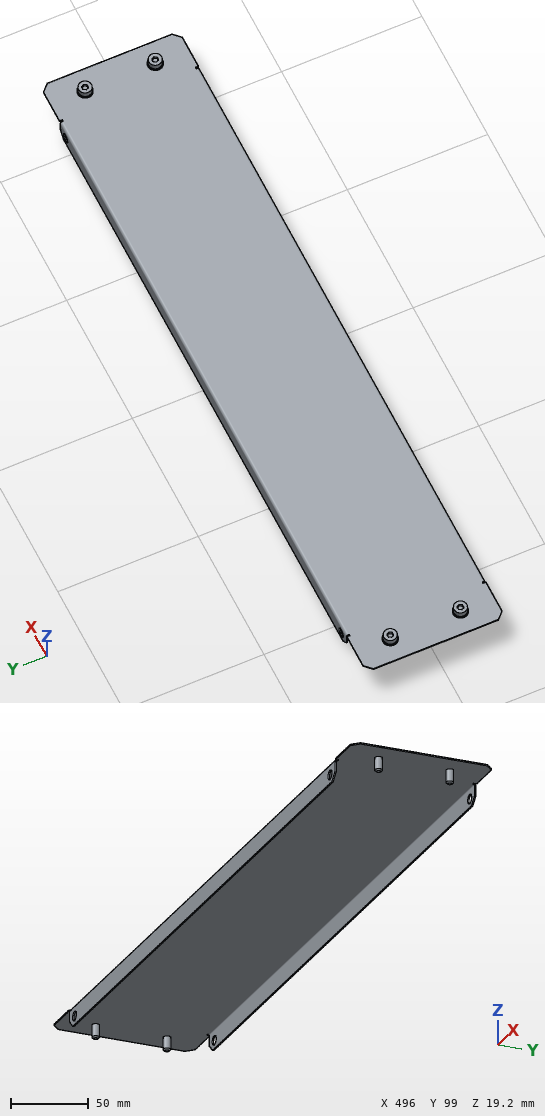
import cadquery as cq
import math

panel_length = 496.0
panel_width = 99.0
sheet = 1.0
bend_inner_radius = 1.0
bend_outer_radius = bend_inner_radius + sheet
panel_corner_chamfer = 5.0
flange_length = 435.0
flange_drop = 14.0
flange_corner_chamfer = 5.0
relief_width = 1.0
relief_depth = bend_outer_radius
flange_hole_diameter = 6.4
flange_hole_end_distance = 8.0
flange_hole_rise = 6.0

screw_pitch_x = 464.0
screw_pitch_y = 50.0
washer_diameter = 10.5
washer_thickness = 1.0
thread_diameter = 5.0
thread_length = 11.5
thread_tip_chamfer = 1.0
head_diameter = 9.2
overall_height = 19.2
head_height = overall_height - flange_drop - washer_thickness
socket_across_flats = 3.8
socket_depth = 2.0

head_seat_z = washer_thickness
screw_positions = [
    (side_x * screw_pitch_x / 2, side_y * screw_pitch_y / 2)
    for side_x in (-1, 1)
    for side_y in (-1, 1)
]


def make_plate():
    """Flat sheet with chamfered corners, cut back where the flanges bend away from it."""
    plate = (
        cq.Workplane("XY")
        .box(panel_length, panel_width, sheet, centered=(True, True, False))
        .translate((0, 0, -sheet))
        .edges("|Z")
        .chamfer(panel_corner_chamfer)
    )
    bend_cutback = (
        cq.Workplane("XY")
        .pushPoints([(0, -panel_width / 2), (0, panel_width / 2)])
        .rect(flange_length, 2 * bend_outer_radius)
        .extrude(-sheet)
    )
    relief_x = (flange_length + relief_width) / 2
    reliefs = (
        cq.Workplane("XY")
        .rect(2 * relief_x, panel_width, forConstruction=True)
        .vertices()
        .rect(relief_width, 2 * relief_depth)
        .extrude(-sheet)
    )
    return plate.cut(bend_cutback).cut(reliefs)


def make_front_flange():
    """Bend and downturned wall along the -Y edge, with chamfered ends and a hole near each end."""
    outer_y = -panel_width / 2
    inner_y = outer_y + sheet
    bend_y = outer_y + bend_outer_radius
    bend_z = -bend_outer_radius
    diagonal = math.sqrt(0.5)
    flange = (
        cq.Workplane("YZ")
        .moveTo(bend_y, 0)
        .threePointArc(
            (bend_y - bend_outer_radius * diagonal, bend_z + bend_outer_radius * diagonal),
            (outer_y, bend_z),
        )
        .lineTo(outer_y, -flange_drop)
        .lineTo(inner_y, -flange_drop)
        .lineTo(inner_y, bend_z)
        .threePointArc(
            (bend_y - bend_inner_radius * diagonal, bend_z + bend_inner_radius * diagonal),
            (bend_y, -sheet),
        )
        .close()
        .extrude(flange_length / 2, both=True)
        .edges("|Y and <Z")
        .edges("<X or >X")
        .chamfer(flange_corner_chamfer)
    )
    hole_x = flange_length / 2 - flange_hole_end_distance
    hole_z = -flange_drop + flange_hole_rise
    holes = (
        cq.Workplane("XZ", origin=(0, inner_y, 0))
        .pushPoints([(-hole_x, hole_z), (hole_x, hole_z)])
        .circle(flange_hole_diameter / 2)
        .extrude(sheet)
    )
    return flange.cut(holes)


def make_panel():
    """Plate and both flanges as one sheet, with a close-fitting hole for each screw."""
    front_flange = make_front_flange()
    back_flange = front_flange.mirror("XZ")
    screw_holes = (
        cq.Workplane("XY")
        .pushPoints(screw_positions)
        .circle(thread_diameter / 2)
        .extrude(-sheet)
    )
    return make_plate().union(front_flange).union(back_flange).cut(screw_holes)


def make_washer(x, y):
    """Flat ring resting on the panel."""
    return (
        cq.Workplane("XY", origin=(x, y, 0))
        .circle(washer_diameter / 2)
        .circle(thread_diameter / 2)
        .extrude(washer_thickness)
    )


def make_screw(x, y):
    """Cylindrical head with a hexagon socket, above a plain shank with a chamfered tip."""
    head = (
        cq.Workplane("XY", origin=(x, y, head_seat_z))
        .circle(head_diameter / 2)
        .extrude(head_height)
    )
    socket = (
        cq.Workplane("XY", origin=(x, y, head_seat_z + head_height))
        .transformed(rotate=(0, 0, 90))
        .polygon(6, socket_across_flats, circumscribed=True)
        .extrude(-socket_depth)
    )
    shank = (
        cq.Workplane("XY", origin=(x, y, head_seat_z))
        .circle(thread_diameter / 2)
        .extrude(-thread_length)
        .edges("<Z")
        .chamfer(thread_tip_chamfer)
    )
    return head.cut(socket).union(shank)


panel = make_panel()
washers = [make_washer(x, y) for x, y in screw_positions]
screws = [make_screw(x, y) for x, y in screw_positions]

result = cq.Compound.makeCompound(
    [
        panel.val(),
        *[washer.val() for washer in washers],
        *[screw.val() for screw in screws],
    ]
)